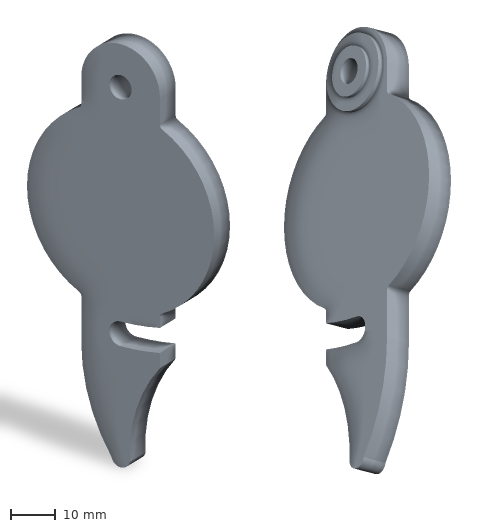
import cadquery as cq
import math


DISC_RADIUS = 25.0
NECK_HALF_WIDTH = 10.5
NECK_FILLET = 1.0
PIVOT_Z = 30.0
SLOT_Z = -30.0
SLOT_RADIUS = 3.0
TIP_Z = -60.0
TIP_RADIUS = 2.5
TIP_EDGE_DROP = 0.5
LEFT_CURVE_TOP_Z = -34.5
RIGHT_CURVE_TOP_Z = -35.8
RIGHT_CURVE_RADIUS = 36.0

PLATE_THICKNESS = 3.2
PLATE_COUNT = 2
WASHER_THICKNESS = 1.2
FLANGE_THICKNESS = 1.0

BORE_DIAMETER = 5.9
TUBE_DIAMETER = 7.8
FLANGE_DIAMETER = 11.7
WASHER_DIAMETER = 17.9

STACK_BACK_Y = PLATE_COUNT * PLATE_THICKNESS
WASHER_BACK_Y = STACK_BACK_Y + WASHER_THICKNESS


def xz_plane(y):
    """Sketch plane at depth y with local x = X and local y = Z; extrusions run toward -Y."""
    return cq.Workplane("XZ", origin=(0, y, 0))


def cylinder(diameter, front_y, back_y):
    """Cylinder on the pivot axis between two Y positions."""
    return xz_plane(back_y).center(0, PIVOT_Z).circle(diameter / 2).extrude(back_y - front_y)


def height_on_circle(radius, x):
    """Rise of a circle of the given radius above its centre at offset x."""
    return math.sqrt(radius**2 - x**2)


def plate_outline(plane):
    """Lug, disc and hooked tail as one closed outline, drawn clockwise from the lug's left side."""
    w = NECK_HALF_WIDTH

    fillet_x = w + NECK_FILLET
    fillet_z = height_on_circle(DISC_RADIUS + NECK_FILLET, fillet_x)
    disc_share = DISC_RADIUS / (DISC_RADIUS + NECK_FILLET)
    disc_x = fillet_x * disc_share
    disc_z = fillet_z * disc_share
    mid_angle = math.pi + math.atan2(fillet_z, fillet_x) / 2
    mid_x = fillet_x + NECK_FILLET * math.cos(mid_angle)
    mid_z = fillet_z + NECK_FILLET * math.sin(mid_angle)

    tip_edge_z = TIP_Z - TIP_EDGE_DROP
    tip_x = height_on_circle(TIP_RADIUS, TIP_EDGE_DROP)

    return (
        plane.moveTo(-w, PIVOT_Z)
        .threePointArc((0, PIVOT_Z + w), (w, PIVOT_Z))
        .lineTo(w, fillet_z)
        .threePointArc((mid_x, mid_z), (disc_x, disc_z))
        .threePointArc((DISC_RADIUS, 0), (disc_x, -disc_z))
        .threePointArc((mid_x, -mid_z), (w, -fillet_z))
        .lineTo(w, RIGHT_CURVE_TOP_Z)
        .radiusArc((tip_x, tip_edge_z), -RIGHT_CURVE_RADIUS)
        .threePointArc((0, TIP_Z - TIP_RADIUS), (-tip_x, tip_edge_z))
        .threePointArc(left_curve_middle(tip_x, tip_edge_z), (-w, LEFT_CURVE_TOP_Z))
        .lineTo(-w, -fillet_z)
        .threePointArc((-mid_x, -mid_z), (-disc_x, -disc_z))
        .threePointArc((-DISC_RADIUS, 0), (-disc_x, disc_z))
        .threePointArc((-mid_x, mid_z), (-w, fillet_z))
        .close()
    )


def left_curve_middle(tip_x, tip_edge_z):
    """Midpoint of the tail's left arc, which is vertical at its top end."""
    run = NECK_HALF_WIDTH - tip_x
    drop = LEFT_CURVE_TOP_Z - tip_edge_z
    radius = (run**2 + drop**2) / (2 * run)
    half_angle = math.asin(drop / radius) / 2
    x = -NECK_HALF_WIDTH + radius * (1 - math.cos(half_angle))
    return x, LEFT_CURVE_TOP_Z - radius * math.sin(half_angle)


def latch_slot(plane):
    """Slot open to the right, with a round end and sides that are arcs about the pivot."""
    reach = PIVOT_Z - SLOT_Z
    inner = reach - SLOT_RADIUS
    outer = reach + SLOT_RADIUS
    end_angle = 2 * math.asin(NECK_HALF_WIDTH / inner)

    def about_pivot(radius, angle):
        return radius * math.sin(angle), PIVOT_Z - radius * math.cos(angle)

    return (
        plane.moveTo(*about_pivot(inner, 0))
        .threePointArc(about_pivot(inner, end_angle / 2), about_pivot(inner, end_angle))
        .lineTo(*about_pivot(outer, end_angle))
        .threePointArc(about_pivot(outer, end_angle / 2), about_pivot(outer, 0))
        .threePointArc((-SLOT_RADIUS, SLOT_Z), about_pivot(inner, 0))
        .close()
    )


def make_plate(front_y):
    """One latch plate with its slot and the pivot hole."""
    back_y = front_y + PLATE_THICKNESS
    plate = plate_outline(xz_plane(back_y)).extrude(PLATE_THICKNESS)
    slot = latch_slot(xz_plane(back_y)).extrude(PLATE_THICKNESS)
    return plate.cut(slot).cut(cylinder(TUBE_DIAMETER, front_y, back_y))


def make_washer():
    """Flat ring behind the plates."""
    disc = cylinder(WASHER_DIAMETER, STACK_BACK_Y, WASHER_BACK_Y)
    return disc.cut(cylinder(TUBE_DIAMETER, STACK_BACK_Y, WASHER_BACK_Y))


def make_eyelet():
    """Tube through plates and washer, flush at the front and flanged at the back."""
    back_y = WASHER_BACK_Y + FLANGE_THICKNESS
    tube = cylinder(TUBE_DIAMETER, 0, back_y)
    flange = cylinder(FLANGE_DIAMETER, WASHER_BACK_Y, back_y)
    return tube.union(flange).cut(cylinder(BORE_DIAMETER, 0, back_y))


plates = [make_plate(index * PLATE_THICKNESS) for index in range(PLATE_COUNT)]
washer = make_washer()
eyelet = make_eyelet()

result = cq.Compound.makeCompound([*[plate.val() for plate in plates], washer.val(), eyelet.val()])